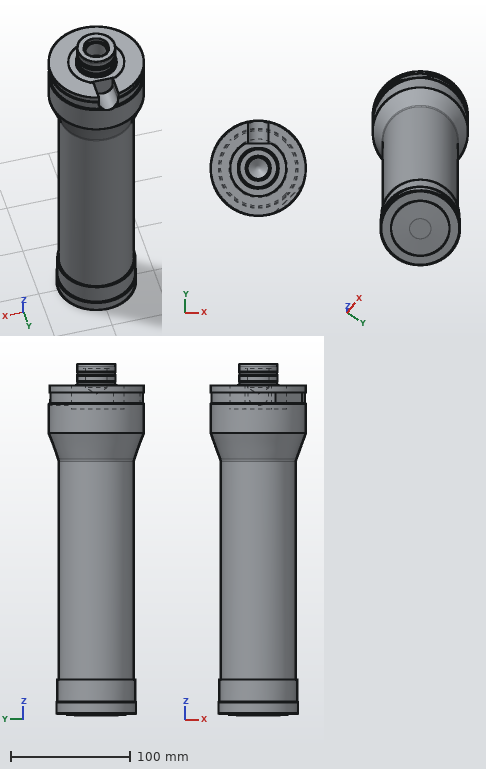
import cadquery as cq
import math

total_height = 295.0
flange_top = 277.0
flange_bottom = 271.0
shoulder_top = 262.0
cone_top = 237.0
cone_bottom = 215.0
tube_top = 213.0
band_top = 30.2
cap_top = 12.0
cap_bottom = 1.5
foot_rim = 0.65

flange_diameter = 80.0
neck_diameter = 78.6
head_diameter = 80.0
cone_end_diameter = 64.0
tube_diameter = 63.0
band_diameter = 65.6
cap_diameter = 67.0
foot_rim_diameter = 49.0
foot_diameter = 18.0
edge_chamfer = 0.8

flat_distance = 36.0
flat_angle = -45.0

slot_width = 17.0
slot_bottom = 260.0

plug_diameter = 47.0
plug_flat_distance = 20.8
plug_depth = 20.0
ring_diameter = 32.3
root_diameter = 31.7
ring_height = 4.4
ring_pitch = 8.0
ring_count = 2
ring_flank = 0.8
tip_height = 2.1
collar_diameter = 34.4
collar_height = 0.7
mouth_diameter = 21.0
mouth_depth = 4.0
bore_diameter = 18.0
bore_depth = 20.0
drill_point_angle = 118.0


def revolve_profile(points):
    """Revolve a closed (radius, z) outline about the Z axis."""
    return cq.Workplane("XZ").polyline(points).close().revolve(360, (0, 0, 0), (0, 1, 0))


def plug_solid():
    """Round plug with one flat facing +Y, flush with the flange."""
    plug = cq.Workplane("XY").workplane(offset=flange_top - plug_depth)
    plug = plug.circle(plug_diameter / 2).extrude(plug_depth)
    beyond_flat = cq.Workplane("XY", origin=(0, plug_flat_distance, 0))
    beyond_flat = beyond_flat.box(plug_diameter, plug_diameter, total_height, centered=(True, False, False))
    return plug.cut(beyond_flat)


def housing_blank():
    """Turned shape: shallow conical foot, end cap, tube, flared head and rim flange."""
    outline = [
        (0, 0),
        (foot_diameter / 2, 0),
        (foot_rim_diameter / 2, foot_rim),
        (foot_rim_diameter / 2, cap_bottom),
        (cap_diameter / 2 - edge_chamfer, cap_bottom),
        (cap_diameter / 2, cap_bottom + edge_chamfer),
        (cap_diameter / 2, cap_top - edge_chamfer),
        (cap_diameter / 2 - edge_chamfer, cap_top),
        (band_diameter / 2, cap_top),
        (band_diameter / 2, band_top),
        (tube_diameter / 2, band_top),
        (tube_diameter / 2, tube_top),
        (cone_end_diameter / 2, cone_bottom),
        (head_diameter / 2, cone_top),
        (head_diameter / 2, shoulder_top - edge_chamfer),
        (head_diameter / 2 - edge_chamfer, shoulder_top),
        (neck_diameter / 2, shoulder_top),
        (neck_diameter / 2, flange_bottom),
        (flange_diameter / 2, flange_bottom),
        (flange_diameter / 2, flange_top),
        (0, flange_top),
    ]
    return revolve_profile(outline)


def neck_flat():
    """Material removed to leave one flat on the neck below the flange."""
    flat_height = flange_bottom - shoulder_top
    block = cq.Workplane("XY", origin=(flat_distance, 0, shoulder_top))
    block = block.box(flange_diameter, flange_diameter, flat_height, centered=(False, True, False))
    return block.rotate((0, 0, 0), (0, 0, 1), flat_angle)


def rim_slot():
    """U-shaped slot running from the plug flat out through the +Y side of the rim."""
    radius = slot_width / 2
    centre_height = slot_bottom + radius
    return (
        cq.Workplane("XZ", origin=(0, plug_flat_distance, 0))
        .moveTo(-radius, total_height)
        .lineTo(-radius, centre_height)
        .threePointArc((0, slot_bottom), (radius, centre_height))
        .lineTo(radius, total_height)
        .close()
        .extrude(-flange_diameter)
    )


def stem():
    """Stem with a conical collar at its root and raised rings with sloping flanks."""
    root = root_diameter / 2
    crest = ring_diameter / 2
    outline = [
        (0, flange_top - plug_depth),
        (collar_diameter / 2, flange_top - plug_depth),
        (collar_diameter / 2, flange_top),
        (root, flange_top + collar_height),
    ]
    first_ring = total_height - tip_height - ring_height - (ring_count - 1) * ring_pitch
    for index in range(ring_count):
        ring_bottom = first_ring + index * ring_pitch
        outline.append((root, ring_bottom - ring_flank))
        outline.append((crest, ring_bottom))
        outline.append((crest, ring_bottom + ring_height))
        if index < ring_count - 1:
            outline.append((root, ring_bottom + ring_height + ring_flank))
    outline.append((root, total_height))
    outline.append((0, total_height))
    return revolve_profile(outline)


def stem_bore():
    """Blind bore with a wider mouth and a drill-point bottom."""
    bore_bottom = total_height - bore_depth
    point_height = bore_diameter / 2 / math.tan(math.radians(drill_point_angle / 2))
    return revolve_profile(
        [
            (0, bore_bottom - point_height),
            (bore_diameter / 2, bore_bottom),
            (bore_diameter / 2, total_height - mouth_depth),
            (mouth_diameter / 2, total_height - mouth_depth),
            (mouth_diameter / 2, total_height),
            (0, total_height),
        ]
    )


housing = housing_blank().cut(plug_solid()).cut(rim_slot()).cut(neck_flat())
connector = plug_solid().union(stem()).cut(stem_bore())

result = cq.Compound.makeCompound([housing.val(), connector.val()])